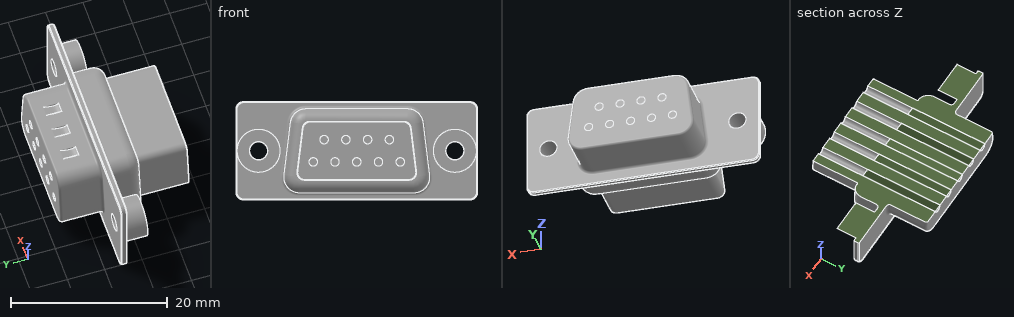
import cadquery as cq
import math


flange_width = 30.8
flange_height = 12.55
flange_thickness = 0.83
flange_corner_radius = 1.0
flange_edge_chamfer = 0.12
boss_spacing = 25.0
boss_radius = 2.75
boss_length = 2.8
mounting_hole_radius = 1.15

side_angle = 7.0
shell_corner_radius = 2.0

front_shell_height = 10.72
front_shell_mid_width = 17.8
front_shell_length = 4.2
front_shell_edge_radius = 1.48

socket_ledge = 0.12
socket_inset = front_shell_edge_radius + socket_ledge
socket_height = front_shell_height - 2 * socket_inset
socket_mid_width = front_shell_mid_width - 2 * socket_inset / math.cos(math.radians(side_angle))
socket_length = 6.62
socket_corner_radius = 1.0
socket_edge_chamfer = 0.1

rear_shell_height = 9.18
rear_shell_mid_width = 16.08
rear_shell_length = 5.8
rear_shell_edge_radius = 0.35

foot_radius = 0.4

dimple_count = 3
dimple_pitch = 3.5
dimple_width = 1.2
dimple_rim_radius = 0.1
dimple_half_length = 1.02
dimple_middle_y = flange_thickness + 3.08
dimple_ramp_angle = 10.0

pin_pitch = 2.77
pin_row_spacing = 2.83
pin_diameter = 1.08
bottom_row_count = 5
top_row_count = 4

rear_y = flange_thickness + rear_shell_length
front_shell_y = -front_shell_length
socket_y = front_shell_y - socket_length


def extrude_from(y):
    """Workplane square to Y at the given y; a negative extrusion from it goes towards +Y."""
    return cq.Workplane("XZ", origin=(0, y, 0))


def d_prism(start_y, length, height, mid_width, corner_radius):
    """Prism along +Y with a D-shaped section that is wider at the bottom."""
    lean = height / 2 * math.tan(math.radians(side_angle))
    top_x = mid_width / 2 - lean
    bottom_x = mid_width / 2 + lean
    corners = [
        (-bottom_x, -height / 2),
        (bottom_x, -height / 2),
        (top_x, height / 2),
        (-top_x, height / 2),
    ]
    prism = extrude_from(start_y).polyline(corners).close().extrude(-length)
    return prism.edges("|Y").fillet(corner_radius)


def make_flange():
    plate = extrude_from(0).rect(flange_width, flange_height).extrude(-flange_thickness)
    plate = plate.edges("|Y").fillet(flange_corner_radius)
    return plate.faces("<Y or >Y").edges().chamfer(flange_edge_chamfer)


def make_front_shell():
    shell = d_prism(
        front_shell_y, front_shell_length, front_shell_height, front_shell_mid_width, shell_corner_radius
    )
    return shell.faces("<Y").edges().fillet(front_shell_edge_radius)


def make_rear_shell():
    shell = d_prism(
        flange_thickness, rear_shell_length, rear_shell_height, rear_shell_mid_width, shell_corner_radius
    )
    return shell.faces(">Y").edges().fillet(rear_shell_edge_radius)


def make_socket():
    block = d_prism(socket_y, socket_length, socket_height, socket_mid_width, socket_corner_radius)
    return block.faces("<Y").edges().chamfer(socket_edge_chamfer)


def fillet_shell_feet(body):
    """Round the seams between the shells and the two flange faces."""
    reach = 0.03
    for y in (0, flange_thickness):
        seam_box = cq.selectors.BoxSelector(
            (-flange_width / 2 + flange_corner_radius, y - reach, -front_shell_height / 2 - reach),
            (flange_width / 2 - flange_corner_radius, y + reach, front_shell_height / 2 + reach),
        )
        body = body.edges(seam_box).fillet(foot_radius)
    return body


def boss_cylinder(radius, start_y, length):
    sites = [(-boss_spacing / 2, 0), (boss_spacing / 2, 0)]
    return extrude_from(start_y).pushPoints(sites).circle(radius).extrude(-length)


def make_dimples():
    """Cutters for the dimples, each an extruded ramp and arc below the top face."""
    top_z = rear_shell_height / 2
    ramp = math.radians(dimple_ramp_angle)
    depth = dimple_half_length * math.tan(ramp)
    arc_radius = dimple_half_length / (math.sin(ramp) + math.sin(3 * ramp))
    arc_center_y = dimple_middle_y - arc_radius * math.sin(ramp)
    arc_center_z = top_z - depth + arc_radius * math.cos(ramp)
    arc_middle = (
        arc_center_y - arc_radius * math.sin(ramp),
        arc_center_z - arc_radius * math.cos(ramp),
    )
    profile = (
        cq.Workplane("YZ")
        .moveTo(dimple_middle_y + dimple_half_length, top_z)
        .lineTo(dimple_middle_y, top_z - depth)
        .threePointArc(arc_middle, (dimple_middle_y - dimple_half_length, top_z))
        .close()
    )
    cutter = profile.extrude(dimple_width / 2, both=True)
    first_x = -dimple_pitch * (dimple_count - 1) / 2
    return [cutter.translate((first_x + i * dimple_pitch, 0, 0)) for i in range(dimple_count)]


def round_dimple_rims(body):
    """Round the two straight rims of every dimple that run along Y."""
    reach = 0.03
    top_z = rear_shell_height / 2
    half_row = (dimple_pitch * (dimple_count - 1) + dimple_width) / 2
    rim_box = cq.selectors.BoxSelector(
        (-half_row - reach, dimple_middle_y - reach, top_z - reach),
        (half_row + reach, dimple_middle_y + reach, top_z + reach),
    )
    return body.edges(rim_box).fillet(dimple_rim_radius)


def pin_row(count, z):
    first_x = -pin_pitch * (count - 1) / 2
    return [(first_x + i * pin_pitch, z) for i in range(count)]


pin_sites = pin_row(bottom_row_count, -pin_row_spacing / 2) + pin_row(top_row_count, pin_row_spacing / 2)


def make_housing():
    body = make_flange().union(make_front_shell()).union(make_rear_shell())
    body = fillet_shell_feet(body)
    body = body.union(make_socket())
    body = body.union(boss_cylinder(boss_radius, -boss_length, boss_length))
    body = body.cut(boss_cylinder(mounting_hole_radius, -boss_length, boss_length + flange_thickness))
    for dimple in make_dimples():
        body = body.cut(dimple)
    body = round_dimple_rims(body)
    contact_holes = extrude_from(socket_y).pushPoints(pin_sites).circle(pin_diameter / 2)
    return body.cut(contact_holes.extrude(socket_y - rear_y))


def make_pin(site):
    """Pin that fills the rear part of its hole, from the front shell face to the rear face."""
    return extrude_from(front_shell_y).center(*site).circle(pin_diameter / 2).extrude(front_shell_y - rear_y)


housing = make_housing()
pins = [make_pin(site) for site in pin_sites]

result = cq.Compound.makeCompound([housing.val(), *[pin.val() for pin in pins]])